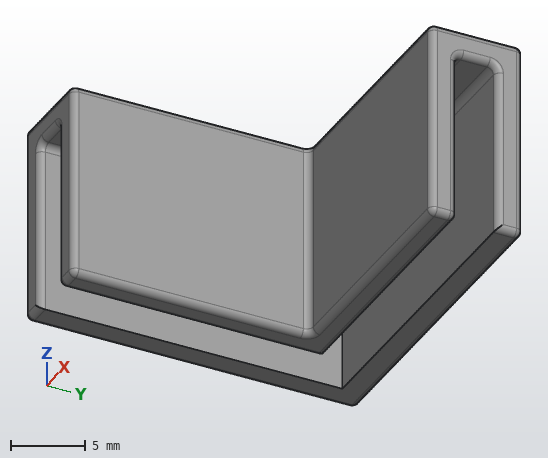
import cadquery as cq

arm_length = 25.0
height = 15.0
wall = 2.0
slot_width = 3.0
edge_radius = 0.5

arm_width = slot_width + 2 * wall
slot_height = height - wall


def corner_block(inset, width, block_height):
    """L-shaped block whose outer faces sit inset from the outer faces of the part."""
    near = inset
    far = arm_length - inset
    outline = [
        (near, 0),
        (near + width, 0),
        (near + width, far - width),
        (arm_length, far - width),
        (arm_length, far),
        (near, far),
    ]
    return cq.Workplane("XY").polyline(outline).close().extrude(block_height)


channel = corner_block(wall, slot_width, slot_height)
roof_edges = channel.faces(">Z").edges("not(<Y or >X)")
channel = roof_edges.fillet(edge_radius)

body = corner_block(0, arm_width, height).cut(channel)


def edge_near(x, y, z):
    """Single edge of the hollow corner whose midpoint is nearest the given point."""
    return body.edges(cq.selectors.NearestToPointSelector((x, y, z)))


end_edges = body.faces("<Y or >X").edges()
top_edges = body.faces(">Z").edges()
outer_corner = edge_near(0, arm_length, height / 2)
inner_corner = edge_near(arm_width, arm_length - arm_width, height / 2)
rounded_edges = end_edges.add(top_edges).add(outer_corner).add(inner_corner)

for offset in (0, wall + slot_width, arm_width):
    arm_middle = (arm_length - offset) / 2
    rounded_edges = rounded_edges.add(edge_near(offset, arm_middle, 0))
    rounded_edges = rounded_edges.add(edge_near(arm_length - arm_middle, arm_length - offset, 0))

result = rounded_edges.fillet(edge_radius)